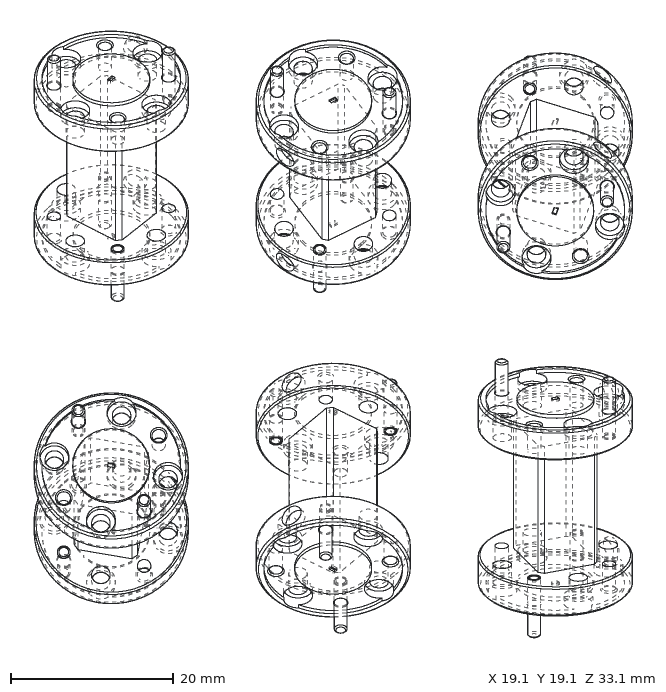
import cadquery as cq
import math

overall_length = 33.15
flange_diameter = 19.05
flange_thickness = 4.05
pin_projection = 3.88
outer_face_z = overall_length / 2 - pin_projection
inner_face_z = outer_face_z - flange_thickness

outer_edge_chamfer = 0.3
inner_edge_chamfer = 0.23
boss_diameter = 9.5
recess_diameter = 17.15
recess_depth = 0.5
recess_floor_z = outer_face_z - recess_depth

column_width = 8.82
column_depth = 7.95
column_chamfer = 0.6

bolt_circle_radius = 7.13
screw_hole_diameter = 2.3
counterbore_diameter = 3.58
counterbore_depth = 1.6

pin_diameter = 1.6
pin_end_chamfer = 0.2
pin_hole_mouth_chamfer = 0.1
mating_hole_diameter = 1.65
mating_hole_mouth_chamfer = 0.2

aperture_width = 0.5
aperture_height = 0.85
aperture_depth = 0.3

side_hole_diameter = 2.8
side_hole_angle = 109.5
side_hole_depth = 1.0

upper_pin_angles = (45, 225)
lower_pin_angles = (135, 315)
screw_angles = (0, 90, 180, 270)


def on_bolt_circle(angle):
    radians = math.radians(angle)
    return (bolt_circle_radius * math.cos(radians), bolt_circle_radius * math.sin(radians))


def cylinder(diameter, bottom_z, top_z):
    return cq.Workplane("XY").workplane(offset=bottom_z).circle(diameter / 2).extrude(top_z - bottom_z)


def ring_recess():
    ring = cq.Workplane("XY").workplane(offset=recess_floor_z)
    return ring.circle(recess_diameter / 2).circle(boss_diameter / 2).extrude(recess_depth)


def screw_hole_cutter():
    """Through hole with a counterbore sunk from the outer face."""
    through = cylinder(screw_hole_diameter, inner_face_z, outer_face_z)
    counterbore = cylinder(counterbore_diameter, outer_face_z - counterbore_depth, outer_face_z)
    return through.union(counterbore)


def dowel_hole_cutter(diameter, mouth_chamfer):
    """Hole through the recessed part of the flange, chamfered at the recess floor."""
    hole = cylinder(diameter, inner_face_z, recess_floor_z)
    mouth = (
        cq.Workplane("XY")
        .workplane(offset=recess_floor_z)
        .circle(diameter / 2 + mouth_chamfer)
        .extrude(-mouth_chamfer, taper=45)
    )
    return hole.union(mouth)


def side_hole_cutter():
    """Radial blind hole at mid thickness of the flange."""
    radians = math.radians(side_hole_angle)
    outward = cq.Vector(math.cos(radians), math.sin(radians), 0)
    mid_z = (outer_face_z + inner_face_z) / 2
    start = outward * (flange_diameter / 2 - side_hole_depth) + cq.Vector(0, 0, mid_z)
    return cq.Workplane(cq.Solid.makeCylinder(side_hole_diameter / 2, 2 * side_hole_depth, start, outward))


def upper_flange(pin_angles, mating_angles):
    flange = cylinder(flange_diameter, inner_face_z, outer_face_z)
    flange = flange.faces(">Z").chamfer(outer_edge_chamfer)
    flange = flange.faces("<Z").chamfer(inner_edge_chamfer)
    flange = flange.cut(ring_recess())
    for angle in screw_angles:
        flange = flange.cut(screw_hole_cutter().translate(on_bolt_circle(angle)))
    for angle in pin_angles:
        pin_hole = dowel_hole_cutter(pin_diameter, pin_hole_mouth_chamfer)
        flange = flange.cut(pin_hole.translate(on_bolt_circle(angle)))
    for angle in mating_angles:
        mating_hole = dowel_hole_cutter(mating_hole_diameter, mating_hole_mouth_chamfer)
        flange = flange.cut(mating_hole.translate(on_bolt_circle(angle)))
    aperture = (
        cq.Workplane("XY")
        .workplane(offset=outer_face_z)
        .rect(aperture_width, aperture_height)
        .extrude(-aperture_depth)
    )
    return flange.cut(aperture).cut(side_hole_cutter())


def make_waveguide_body():
    column = cq.Workplane("XY").box(column_width, column_depth, 2 * inner_face_z)
    column = column.edges("|Z").chamfer(column_chamfer)
    upper = upper_flange(upper_pin_angles, lower_pin_angles)
    lower = upper_flange(lower_pin_angles, upper_pin_angles).mirror("XY")
    return column.union(upper).union(lower)


def make_pin(angle):
    """Upper dowel pin, flush with the inner flange face and chamfered at both ends."""
    pin = cylinder(pin_diameter, inner_face_z, overall_length / 2)
    return pin.faces("<Z or >Z").chamfer(pin_end_chamfer).translate(on_bolt_circle(angle))


waveguide_body = make_waveguide_body()
upper_pins = [make_pin(angle) for angle in upper_pin_angles]
lower_pins = [make_pin(angle).mirror("XY") for angle in lower_pin_angles]

result = cq.Compound.makeCompound([waveguide_body.val(), *[pin.val() for pin in upper_pins + lower_pins]])